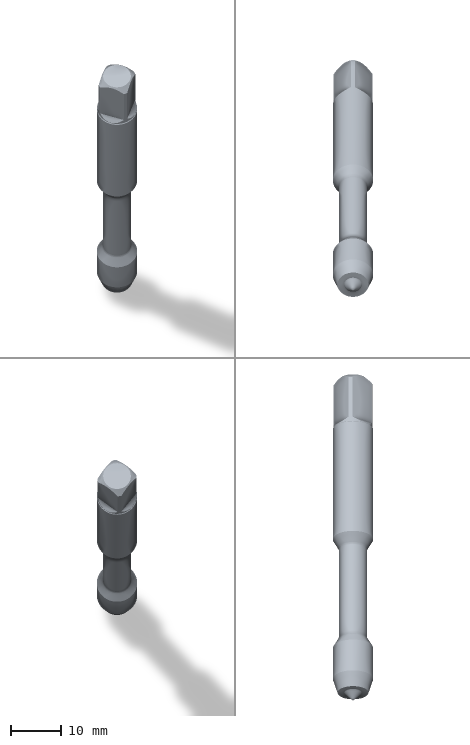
import cadquery as cq
import math

total_length = 70.65
body_diameter = 8.05
neck_diameter = 5.65

point_height = 1.8
point_diameter = 3.5
lead_end_diameter = 6.15
lead_top = 4.8
head_top = 11.6

neck_cone_height = 2.1
shank_bottom = 35.5
neck_fillet = 0.85

shank_top = 59.7
square_size = 6.0
corner_diameter = 7.8
flat_bottom = 60.8
top_face_diameter = 5.5
top_chamfer_angle = 45.0

body_radius = body_diameter / 2
neck_radius = neck_diameter / 2
corner_radius = corner_diameter / 2
top_face_radius = top_face_diameter / 2


def revolve_profile(points):
    """Turn a half outline, given as (radius, height) points, about Z."""
    return cq.Workplane("XZ").polyline(points).close().revolve(360, (0, 0), (0, 1))


def make_cutting_head():
    """Cylindrical head with a tapered lead and a conical centre point."""
    return revolve_profile([
        (0, 0),
        (point_diameter / 2, point_height),
        (lead_end_diameter / 2, point_height),
        (body_radius, lead_top),
        (body_radius, head_top),
        (0, head_top),
    ])


def make_turned_shank():
    """Neck, shank and the round blank of the square drive, before the flats."""
    neck_bottom = head_top + neck_cone_height
    neck_top = shank_bottom - neck_cone_height
    corner_step = body_radius - corner_radius
    top_chamfer_height = (corner_radius - top_face_radius) * math.tan(math.radians(top_chamfer_angle))
    turned = revolve_profile([
        (0, head_top),
        (body_radius, head_top),
        (neck_radius, neck_bottom),
        (neck_radius, neck_top),
        (body_radius, shank_bottom),
        (body_radius, shank_top),
        (corner_radius, shank_top + corner_step),
        (corner_radius, total_length - top_chamfer_height),
        (top_face_radius, total_length),
        (0, total_length),
    ])
    for height in (neck_bottom, neck_top):
        at_height = cq.selectors.BoxSelector(
            (-body_radius, -body_radius, height - neck_fillet / 2),
            (body_radius, body_radius, height + neck_fillet / 2),
        )
        turned = turned.edges("%CIRCLE").edges(at_height).fillet(neck_fillet)
    return turned


def make_flat_cutter():
    """Cutter for the flat on the +X side, with a 45 degree run-out at its lower end."""
    flat_distance = square_size / 2
    outer = flat_distance + body_radius
    return (
        cq.Workplane("XZ")
        .polyline([
            (flat_distance, flat_bottom),
            (outer, flat_bottom - body_radius),
            (outer, total_length),
            (flat_distance, total_length),
        ])
        .close()
        .extrude(body_radius, both=True)
    )


def make_shank():
    """Shank with the four flats of the square drive."""
    shank = make_turned_shank()
    cutter = make_flat_cutter()
    for turn in range(4):
        shank = shank.cut(cutter.rotate((0, 0, 0), (0, 0, 1), 90 * turn))
    return shank


cutting_head = make_cutting_head()
shank = make_shank()

result = cq.Compound.makeCompound([cutting_head.val(), shank.val()])